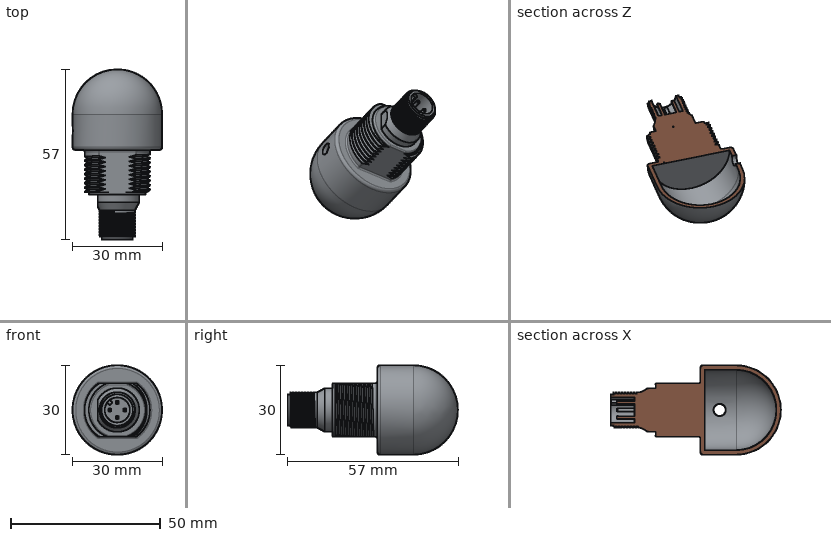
import cadquery as cq
import math


cap_diameter = 30.0
cap_radius = cap_diameter / 2
cap_height = 27.0
dome_base = cap_height - cap_radius
cap_edge_radius = 1.0
side_hole_diameter = 4.0
side_hole_y = 6.5
cap_wall = 1.6

neck_radius = 10.95
neck_root_radius = 9.85
neck_ten_turns = 15.0
neck_pitch = neck_ten_turns / 10
neck_thread_start = 1.65
neck_thread_end = 14.0
neck_length = 15.0
neck_flat_half_width = 9.0
neck_tip_radius = 9.5
neck_fillet = 0.5

collar_radius = 7.35
collar_flat_offset = 6.6
collar_end = 17.5
cone_end = 20.05

plug_radius = 6.0
plug_root_radius = 5.35
plug_ten_turns = 10.0
plug_pitch = plug_ten_turns / 10
plug_thread_start = 20.5
plug_thread_end = 29.0
plug_tip_radius = 5.25
total_length = 56.95
plug_end = total_length - cap_height
bore_diameter = 8.4
bore_radius = bore_diameter / 2
bore_depth = 8.0

pin_count = 4
pin_radius = 0.55
pin_circle_radius = 2.5
pin_tip_chamfer = 0.35
pin_recess = 2.0
key_width = 1.25
key_inner_radius = 2.9
key_recess = 0.3
key_angle = 135

neck_thread_angle = -90
plug_thread_angle = 100

thread_half_angle = math.radians(30)
thread_overcut = 0.05

foot_margin = 0.05


def section(depth):
    """Plane square to the axis, at a distance below the cap, facing -Y."""
    return cq.Workplane("XZ", origin=(0, -depth, 0))


def rod(radius, start, end):
    return section(start).circle(radius).extrude(end - start)


def cut_thread(body, outer_radius, root_radius, pitch, start, end, start_angle):
    """Cut a right-handed V groove down the axis, one turn at a time, past the given end."""
    top_radius = outer_radius + thread_overcut
    half_width = (top_radius - root_radius) * math.tan(thread_half_angle)
    helix = cq.Wire.makeHelix(pitch, pitch, root_radius)
    turn = (
        cq.Workplane("XZ")
        .moveTo(root_radius, 0)
        .lineTo(top_radius, half_width)
        .lineTo(top_radius, -half_width)
        .close()
        .sweep(cq.Workplane(obj=helix), isFrenet=True)
        .rotate((0, 0, 0), (1, 0, 0), 90)
        .rotate((0, 0, 0), (0, 1, 0), -start_angle)
    )
    turn_count = math.ceil((end + half_width - start) / pitch)
    for index in range(turn_count):
        body = body.cut(turn.translate((0, -start - index * pitch, 0)))
    return body


def flatted_rod(radius, start, end):
    """Rod with the two neck flats, facing +Z and -Z."""
    slab = section(start).rect(2 * radius, 2 * neck_flat_half_width).extrude(end - start)
    return rod(radius, start, end).intersect(slab).edges("|Y").fillet(neck_fillet)


def domed_cylinder(radius, bottom):
    """Cylinder standing on Y = bottom and closed by a half ball."""
    return (
        cq.Workplane("XY")
        .moveTo(0, bottom)
        .lineTo(radius, bottom)
        .lineTo(radius, dome_base)
        .radiusArc((0, dome_base + radius), -radius)
        .close()
        .revolve(360, (0, 0), (0, 1))
    )


def make_cap():
    """Hollow cap with a round side hole through the -X wall."""
    body = domed_cylinder(cap_radius, 0).faces("<Y").edges().fillet(cap_edge_radius)
    hole = (
        cq.Workplane("YZ", origin=(-cap_radius, side_hole_y, 0))
        .circle(side_hole_diameter / 2)
        .extrude(cap_radius)
    )
    cavity = domed_cylinder(cap_radius - cap_wall, cap_wall)
    return body.cut(hole).cut(cavity)


def add_neck(body):
    """Join the threaded neck and its plain tip to the underside of the cap."""
    body = body.union(flatted_rod(neck_radius, 0, neck_thread_end))
    foot_box = cq.selectors.BoxSelector(
        (-cap_radius, -foot_margin, -neck_radius),
        (cap_radius, foot_margin, neck_radius),
    )
    body = body.edges(foot_box).fillet(neck_fillet)
    body = cut_thread(
        body, neck_radius, neck_root_radius, neck_pitch,
        neck_thread_start, neck_thread_end, neck_thread_angle,
    )
    tip = flatted_rod(neck_tip_radius, neck_thread_end, neck_length)
    return body.union(tip.faces("<Y").edges().fillet(neck_fillet))


def make_plug():
    """Collar, cone and threaded plug with an open bore at the end."""
    collar = (
        cq.Workplane("XY")
        .moveTo(0, -neck_length)
        .lineTo(collar_radius, -neck_length)
        .lineTo(collar_radius, -collar_end)
        .lineTo(plug_radius, -cone_end)
        .lineTo(0, -cone_end)
        .close()
        .revolve(360, (0, 0), (0, 1))
    )
    flat_cut = (
        section(neck_length)
        .center(-collar_flat_offset - collar_radius, 0)
        .rect(2 * collar_radius, 2 * collar_radius)
        .extrude(cone_end - neck_length)
    )
    threaded = cut_thread(
        rod(plug_radius, cone_end, plug_thread_end), plug_radius, plug_root_radius, plug_pitch,
        plug_thread_start, plug_thread_end, plug_thread_angle,
    )
    tip = rod(plug_tip_radius, plug_thread_end, plug_end)
    bore = rod(bore_radius, plug_end - bore_depth, plug_end)
    return collar.cut(flat_cut).union(threaded).union(tip).cut(bore)


def make_pins():
    """Contact pins standing on the bore floor."""
    return (
        section(plug_end - bore_depth)
        .polarArray(pin_circle_radius, 0, 360, pin_count)
        .circle(pin_radius)
        .extrude(bore_depth - pin_recess)
        .faces("<Y")
        .edges()
        .chamfer(pin_tip_chamfer)
    )


def make_key():
    """Square bar along the bore wall, midway between -X and +Z."""
    wall_radius = (bore_radius + plug_tip_radius) / 2
    bar = (
        section(plug_end - bore_depth)
        .center((key_inner_radius + wall_radius) / 2, 0)
        .rect(wall_radius - key_inner_radius, key_width)
        .extrude(bore_depth - key_recess)
    )
    return bar.rotate((0, 0, 0), (0, 1, 0), -key_angle)


result = add_neck(make_cap()).union(make_plug()).union(make_pins()).union(make_key())